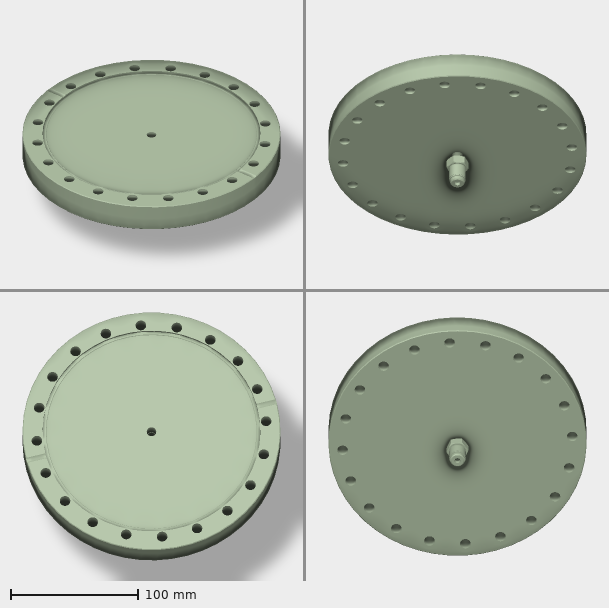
import cadquery as cq
import math

flange_diameter = 203.0
flange_thickness = 22.0
overall_height = 50.0
rim_chamfer = 0.6
bolt_count = 20
bolt_hole_diameter = 8.3
bolt_circle_diameter = 181.0

recess_diameter = 171.3
recess_depth = 2.0
knife_diameter = 166.0
face_diameter = 165.2
knife_depth = 1.2
face_depth = 1.6

groove_diameter = 6.3
groove_depth = 0.8

tube_diameter = 9.1
head_diameter = 11.4
head_chamfer = 0.8
head_length = 18.3
bore_diameter = 4.5
bore_mouth_diameter = 6.3
port_diameter = 7.5

nut_across_flats = 15.2
hex_end_diameter = 14.8
hex_length = 7.3
collar_diameter = 13.0
nut_top_drop = 5.9
nut_bottom_drop = 24.8
collar_tip_diameter = 12.5
collar_tip_length = 1.2

tube_top_z = flange_thickness / 2
tube_end_z = flange_thickness - overall_height
nut_top_z = -nut_top_drop
hex_bottom_z = nut_top_z - hex_length
nut_bottom_z = -nut_bottom_drop
head_top_z = tube_end_z + head_length


def cylinder(diameter, bottom_z, top_z):
    """Upright cylinder on the Z axis."""
    return cq.Workplane("XY").workplane(offset=bottom_z).circle(diameter / 2).extrude(top_z - bottom_z)


def revolved(profile):
    """Closed outline of (radius, Z) points turned about the Z axis."""
    return cq.Workplane("XZ").polyline(profile).close().revolve(360, (0, 0, 0), (0, 1, 0))


def make_flange():
    """Blank flange with knife-edge seal, bolt holes and a seat for the tube."""
    rim = flange_diameter / 2
    recess = recess_diameter / 2
    knife = knife_diameter / 2
    top = flange_thickness
    profile = [
        (0, 0),
        (rim - rim_chamfer, 0),
        (rim, rim_chamfer),
        (rim, top - rim_chamfer),
        (rim - rim_chamfer, top),
        (recess, top),
        (recess, top - recess_depth),
        (knife, top - knife_depth),
        (face_diameter / 2, top - face_depth),
        (0, top - face_depth),
    ]
    body = revolved(profile)
    bolt_holes = (
        cq.Workplane("XY")
        .polarArray(bolt_circle_diameter / 2, 180 / bolt_count, 360, bolt_count)
        .circle(bolt_hole_diameter / 2)
        .extrude(top)
    )
    groove_axis_z = top - groove_depth + groove_diameter / 2
    groove = (
        cq.Workplane("YZ")
        .center(0, groove_axis_z)
        .circle(groove_diameter / 2)
        .extrude(rim, both=True)
        .cut(cylinder(recess_diameter, 0, 2 * top))
    )
    port = cylinder(port_diameter, 0, top)
    tube_seat = cylinder(tube_diameter, 0, tube_top_z)
    return body.cut(bolt_holes).cut(groove).cut(port).cut(tube_seat)


def gland_envelope():
    """Solid outer shape of the gland, reaching up into the flange seat."""
    tube = cylinder(tube_diameter, head_top_z, tube_top_z)
    head = cylinder(head_diameter, tube_end_z, head_top_z).faces("<Z").chamfer(head_chamfer)
    return tube.union(head)


def make_gland():
    """Tube and head with a through bore that widens where the tube meets the flange port."""
    bore = cylinder(bore_diameter, tube_end_z, flange_thickness)
    mouth = cylinder(bore_mouth_diameter, 0, flange_thickness)
    return gland_envelope().cut(bore).cut(mouth)


def make_nut():
    """Hex nut with a round collar, bored to fit around the gland."""
    across_corners = nut_across_flats / math.cos(math.pi / 6)
    hexagon = (
        cq.Workplane("XY")
        .workplane(offset=hex_bottom_z)
        .transformed(rotate=(0, 0, 90))
        .polygon(6, across_corners)
        .extrude(hex_length)
    )
    corner = across_corners / 2
    end = hex_end_diameter / 2
    cone_height = (corner - end) * math.tan(math.pi / 6)
    trim_profile = [
        (0, hex_bottom_z),
        (end, hex_bottom_z),
        (corner, hex_bottom_z + cone_height),
        (corner, nut_top_z - cone_height),
        (end, nut_top_z),
        (0, nut_top_z),
    ]
    corner_trim = revolved(trim_profile)
    tip_top_z = nut_bottom_z + collar_tip_length
    collar = cylinder(collar_diameter, tip_top_z, hex_bottom_z)
    tip = cylinder(collar_tip_diameter, nut_bottom_z, tip_top_z)
    return hexagon.intersect(corner_trim).union(collar).union(tip).cut(gland_envelope())


flange = make_flange()
gland = make_gland()
nut = make_nut()

result = cq.Compound.makeCompound([flange.val(), gland.val(), nut.val()])